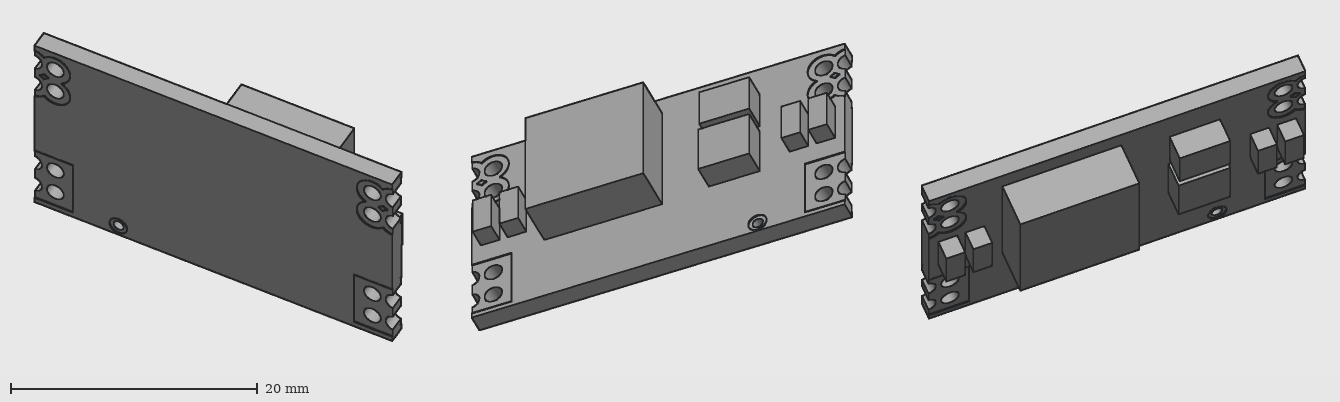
import cadquery as cq

BOARD_LENGTH = 32.9
BOARD_HEIGHT = 18.4
BOARD_THICKNESS = 1.6
LEFT = -BOARD_LENGTH / 2
BOTTOM = -BOARD_HEIGHT / 2

HOLE_DIAMETER = 1.55
HOLE_INSET = 1.88
HOLE_TO_NOTCH = 2.0
ROW_PITCH = 2.53
OUTER_ROW_INSET = 2.0
PAIR_CENTER_INSET = OUTER_ROW_INSET + ROW_PITCH / 2
HOLE_X = BOARD_LENGTH / 2 - HOLE_INSET
NOTCH_X = HOLE_X + HOLE_TO_NOTCH
UPPER_PAIR_Z = -BOTTOM - PAIR_CENTER_INSET
LOWER_PAIR_Z = BOTTOM + PAIR_CENTER_INSET
COLUMNS_X = [-NOTCH_X, -HOLE_X, HOLE_X, NOTCH_X]

PAD_DEPTH = 0.1
PAD_DIAMETER = 2.8
PAD_WIDTH = 3.52
PAD_HEIGHT = 5.53

VIA_X = LEFT + 7.7
VIA_Z = BOTTOM + 1.0
VIA_DIAMETER = 0.92
VIA_PAD_DIAMETER = 1.6

CAPACITOR_WIDTH = 1.65
CAPACITOR_HEIGHT = 3.6
CAPACITOR_RISE = 1.7
CAPACITOR_BOTTOM = BOTTOM + 7.93
CAPACITOR_PITCH = 2.37
CAPACITOR_INSET = 1.65
OUTER_CAPACITOR_X = BOARD_LENGTH / 2 - CAPACITOR_INSET

CHIP_RISE = 2.2
CHIP_LEFT = LEFT + 7.47
UPPER_CHIP_WIDTH = 4.4
UPPER_CHIP_HEIGHT = 3.6
UPPER_CHIP_BOTTOM = BOTTOM + 11.88
LOWER_CHIP_SIDE = 4.5
LOWER_CHIP_BOTTOM = BOTTOM + 6.75

TRANSFORMER_SIDE = 10.4
TRANSFORMER_RISE = 3.88
TRANSFORMER_LEFT = LEFT + 16.1
TRANSFORMER_BOTTOM = BOTTOM + 6.35


def cylinder(x, z, diameter, y_start, length):
    """Cylinder along +Y."""
    return cq.Workplane("XZ", origin=(x, y_start, z)).circle(diameter / 2).extrude(-length)


def box(x_min, y_min, z_min, width, depth, height):
    """Box placed by its lowest corner."""
    return cq.Workplane("XY").box(width, depth, height, centered=False).translate((x_min, y_min, z_min))


def mounted_block(x_min, z_min, width, height, rise):
    """Block standing on the back face of the board."""
    return box(x_min, BOARD_THICKNESS, z_min, width, rise, height)


def pair_rows(pair_center_z):
    """Heights of the two rows of a corner pair."""
    return [pair_center_z - ROW_PITCH / 2, pair_center_z + ROW_PITCH / 2]


def cut_pads(board):
    """Sink the round, rectangular and via pads into both faces."""
    for y_start in (0, BOARD_THICKNESS - PAD_DEPTH):
        for x in COLUMNS_X:
            for z in pair_rows(UPPER_PAIR_Z):
                board = board.cut(cylinder(x, z, PAD_DIAMETER, y_start, PAD_DEPTH))
        for pad_left in (LEFT, -LEFT - PAD_WIDTH):
            pad_bottom = LOWER_PAIR_Z - PAD_HEIGHT / 2
            board = board.cut(box(pad_left, y_start, pad_bottom, PAD_WIDTH, PAD_DEPTH, PAD_HEIGHT))
        board = board.cut(cylinder(VIA_X, VIA_Z, VIA_PAD_DIAMETER, y_start, PAD_DEPTH))
    return board


def cut_holes(board):
    for x in COLUMNS_X:
        for z in pair_rows(UPPER_PAIR_Z) + pair_rows(LOWER_PAIR_Z):
            board = board.cut(cylinder(x, z, HOLE_DIAMETER, 0, BOARD_THICKNESS))
    return board.cut(cylinder(VIA_X, VIA_Z, VIA_DIAMETER, 0, BOARD_THICKNESS))


def add_capacitors(board):
    inner_x = OUTER_CAPACITOR_X - CAPACITOR_PITCH
    for x in (-OUTER_CAPACITOR_X, -inner_x, inner_x, OUTER_CAPACITOR_X):
        board = board.union(mounted_block(
            x - CAPACITOR_WIDTH / 2, CAPACITOR_BOTTOM, CAPACITOR_WIDTH, CAPACITOR_HEIGHT, CAPACITOR_RISE))
    return board


def add_chips(board):
    upper_chip = mounted_block(CHIP_LEFT, UPPER_CHIP_BOTTOM, UPPER_CHIP_WIDTH, UPPER_CHIP_HEIGHT, CHIP_RISE)
    lower_chip = mounted_block(CHIP_LEFT, LOWER_CHIP_BOTTOM, LOWER_CHIP_SIDE, LOWER_CHIP_SIDE, CHIP_RISE)
    return board.union(upper_chip).union(lower_chip)


def make_board():
    """Board with its capacitors and chips as one solid."""
    board = box(LEFT, 0, BOTTOM, BOARD_LENGTH, BOARD_THICKNESS, BOARD_HEIGHT)
    board = cut_pads(board)
    board = cut_holes(board)
    board = add_capacitors(board)
    return add_chips(board)


def make_transformer():
    """Separate block resting on the back face of the board."""
    return mounted_block(
        TRANSFORMER_LEFT, TRANSFORMER_BOTTOM, TRANSFORMER_SIDE, TRANSFORMER_SIDE, TRANSFORMER_RISE)


board = make_board()
transformer = make_transformer()

result = cq.Compound.makeCompound([board.solids().val(), transformer.val()])